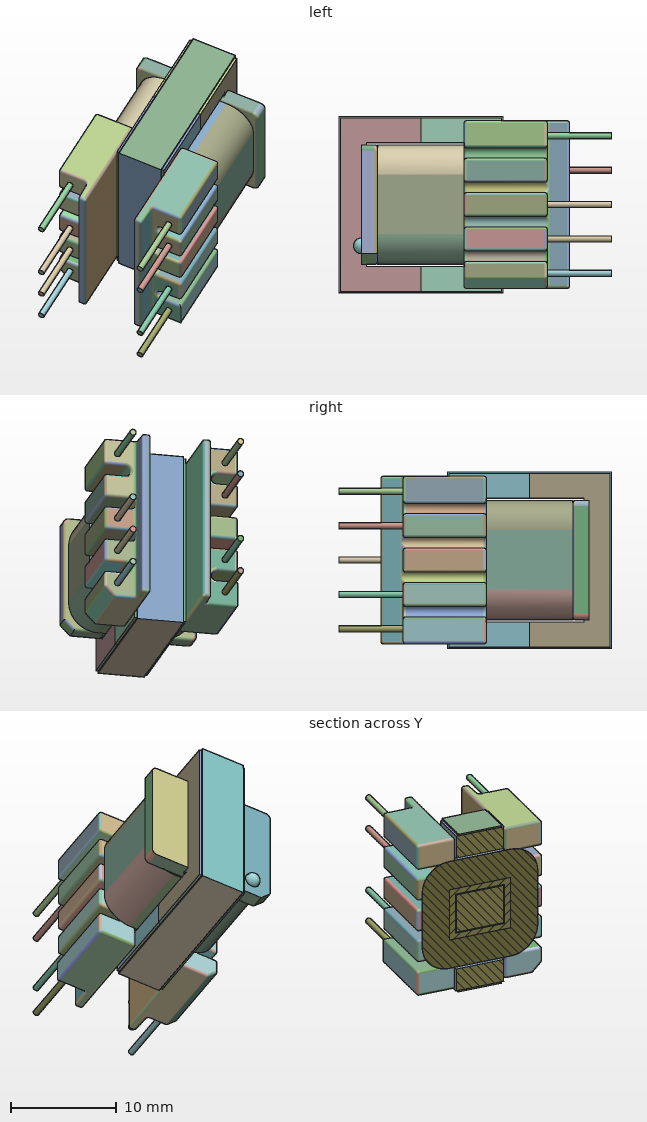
import cadquery as cq


CORE_WIDTH = 5.0
CORE_HALF_LENGTH = 7.63
CORE_HEIGHT = 16.42
WINDOW_HALF_LENGTH = 5.15
WINDOW_HEIGHT = 11.7
CENTRE_LEG_HEIGHT = 3.98
TAPE_WIDTH = 4.5
TAPE_THICKNESS = 0.15

WINDING_WIDTH = 12.05
WINDING_HEIGHT = 11.33
WINDING_CORNER = 2.85
WINDING_BACK = 4.1
WINDING_FRONT = -4.09

EDGE_RADIUS = 0.25
BOBBIN_WIDTH = 13.0
CORE_CLEARANCE = 0.05
TUBE_WALL = 0.65
CORNER_CHAMFER = 1.0
FLANGE_THICKNESS = 1.53
FLANGE_CORNER = 0.55
WEB_THICKNESS = 0.67
DOME_RADIUS = 0.75
DOME_X = -4.5
DOME_Z = -3.9

BLOCK_HEIGHT = 15.9
BLOCK_LENGTH = 7.9
WALL_LENGTH = 2.12
WALL_ROOT = 0.88
WALL_TIP = 0.8
SLOT_WIDTH = 0.98
OUTER_SLOT_END = 3.95
INNER_SLOT_END = 3.45
SLOTS = (
    (-1.5, OUTER_SLOT_END),
    (-0.5, INNER_SLOT_END),
    (0.5, INNER_SLOT_END),
    (1.5, OUTER_SLOT_END),
)

PIN_PITCH = 3.25
PIN_DIAMETER = 0.6
PIN_X = 5.25
PIN_TIP = -18.08
LEFT_PIN_STEPS = (-2, -1, 0, 2)
RIGHT_PIN_STEPS = (-2, -1, 1, 2)

BOBBIN_EDGE = BOBBIN_WIDTH / 2
INNER_FACE = CORE_WIDTH / 2 + CORE_CLEARANCE
FLANGE_BACK = WINDING_BACK + FLANGE_THICKNESS
BLOCK_FRONT = WINDING_FRONT - BLOCK_LENGTH
WALL_FRONT = BLOCK_FRONT - WALL_LENGTH
SHARP_EDGE_POINT = (BOBBIN_EDGE, BLOCK_FRONT, -2 * PIN_PITCH)
TUBE_BORE_WIDTH = CORE_WIDTH + 2 * CORE_CLEARANCE
TUBE_BORE_HEIGHT = CENTRE_LEG_HEIGHT + 2 * CORE_CLEARANCE
TUBE_WIDTH = TUBE_BORE_WIDTH + 2 * TUBE_WALL
TUBE_HEIGHT = TUBE_BORE_HEIGHT + 2 * TUBE_WALL


def bar(width, y_front, y_back, height):
    """Box centred on X and Z that runs from y_front to y_back."""
    length = y_back - y_front
    return cq.Workplane("XY").box(width, length, height).translate((0, (y_front + y_back) / 2, 0))


def core_half():
    """E-shaped half on the +Y side of the joint."""
    half = bar(CORE_WIDTH, 0, CORE_HALF_LENGTH, CORE_HEIGHT)
    window = bar(CORE_WIDTH, 0, WINDOW_HALF_LENGTH, WINDOW_HEIGHT)
    centre_leg = bar(CORE_WIDTH, 0, WINDOW_HALF_LENGTH, CENTRE_LEG_HEIGHT)
    return half.cut(window).union(centre_leg)


def core_tape():
    """Band around the outside of both core halves."""
    reach = CORE_HALF_LENGTH + TAPE_THICKNESS
    band = bar(TAPE_WIDTH, -reach, reach, CORE_HEIGHT + 2 * TAPE_THICKNESS)
    return band.cut(bar(TAPE_WIDTH, -CORE_HALF_LENGTH, CORE_HALF_LENGTH, CORE_HEIGHT))


def wire_winding():
    """Rounded block of wire around the bobbin tube."""
    wire = bar(WINDING_WIDTH, WINDING_FRONT, WINDING_BACK, WINDING_HEIGHT)
    wire = wire.edges("|Y").fillet(WINDING_CORNER)
    return wire.cut(bar(TUBE_WIDTH, WINDING_FRONT, WINDING_BACK, TUBE_HEIGHT))


def flange():
    """Back flange, notched for the core and marked with a dome near pin 1."""
    plate = bar(BOBBIN_WIDTH, WINDING_BACK, FLANGE_BACK, WINDING_HEIGHT)
    plate = plate.edges("|Y").edges("<X and <Z").chamfer(CORNER_CHAMFER)
    plate = plate.edges("|Y").edges(">X or >Z").fillet(FLANGE_CORNER)
    plate = plate.faces("<Y").edges().fillet(EDGE_RADIUS)
    notch = bar(2 * INNER_FACE, WINDING_BACK + WEB_THICKNESS, FLANGE_BACK, WINDING_HEIGHT)
    dome = cq.Workplane("XY").sphere(DOME_RADIUS).translate((DOME_X, FLANGE_BACK, DOME_Z))
    return plate.cut(notch).union(dome)


def block_blank(side):
    """Unrounded terminal block with its thin wall along the core, on side -1 or +1."""
    root = INNER_FACE + WALL_ROOT
    profile = (
        cq.Workplane("XY")
        .moveTo(side * INNER_FACE, WINDING_FRONT)
        .lineTo(side * BOBBIN_EDGE, WINDING_FRONT)
        .lineTo(side * BOBBIN_EDGE, BLOCK_FRONT)
        .lineTo(side * (root + EDGE_RADIUS), BLOCK_FRONT)
        .radiusArc((side * root, BLOCK_FRONT - EDGE_RADIUS), -side * EDGE_RADIUS)
        .lineTo(side * (INNER_FACE + WALL_TIP), WALL_FRONT)
        .lineTo(side * INNER_FACE, WALL_FRONT)
        .close()
    )
    return profile.extrude(BLOCK_HEIGHT / 2, both=True)


def wire_slot(side, step, end):
    """Round-ended slot along Y, open to the outer face; step counts pin pitches from Z = 0."""
    round_centre = end + SLOT_WIDTH / 2
    channel = bar(BOBBIN_WIDTH, WALL_FRONT, WINDING_FRONT, SLOT_WIDTH)
    channel = channel.translate((side * (round_centre + BOBBIN_WIDTH / 2), 0, 0))
    round_end = (
        cq.Workplane("XZ", origin=(side * round_centre, WINDING_FRONT, 0))
        .circle(SLOT_WIDTH / 2)
        .extrude(WINDING_FRONT - WALL_FRONT)
    )
    return channel.union(round_end).translate((0, 0, step * PIN_PITCH))


def terminal_block(side):
    """Slotted and rounded terminal block on side -1 or +1."""
    block = block_blank(side)
    if side < 0:
        block = block.edges("|Y").edges("<X and <Z").chamfer(CORNER_CHAMFER)
    for step, end in SLOTS:
        block = block.cut(wire_slot(side, step, end))
    rounded_edges = block.edges()
    if side > 0:
        sharp_edge = block.edges(cq.selectors.NearestToPointSelector(SHARP_EDGE_POINT))
        rounded_edges = block.edges().newObject(
            [edge for edge in block.edges().vals() if not edge.isSame(sharp_edge.val())]
        )
    return rounded_edges.fillet(EDGE_RADIUS)


def winding_tube():
    """Tube around the core's centre leg, with a web inside the window at each end."""
    web_front = WINDING_FRONT - WEB_THICKNESS
    web_width = 2 * (INNER_FACE + EDGE_RADIUS)
    front_web = bar(web_width, web_front, WINDING_FRONT, WINDING_HEIGHT)
    tube = bar(TUBE_WIDTH, web_front, WINDING_BACK, TUBE_HEIGHT)
    return tube.union(front_web)


def pin(side, step):
    """Round pin that stands out of the front of a terminal block."""
    return (
        cq.Workplane("XZ", origin=(side * PIN_X, BLOCK_FRONT, step * PIN_PITCH))
        .circle(PIN_DIAMETER / 2)
        .extrude(BLOCK_FRONT - PIN_TIP)
    )


def bobbin_with_pins():
    """Flange, tube, terminal blocks and pins as one solid."""
    body = winding_tube().union(flange())
    body = body.union(terminal_block(-1)).union(terminal_block(1))
    body = body.cut(bar(TUBE_BORE_WIDTH, WALL_FRONT, FLANGE_BACK, TUBE_BORE_HEIGHT))
    for side, steps in ((-1, LEFT_PIN_STEPS), (1, RIGHT_PIN_STEPS)):
        for step in steps:
            body = body.union(pin(side, step))
    return body


back_core = core_half()
front_core = back_core.mirror("XZ")
tape = core_tape()
winding = wire_winding()
bobbin = bobbin_with_pins()

result = cq.Compound.makeCompound(
    [bobbin.val(), winding.val(), back_core.val(), front_core.val(), tape.val()]
)